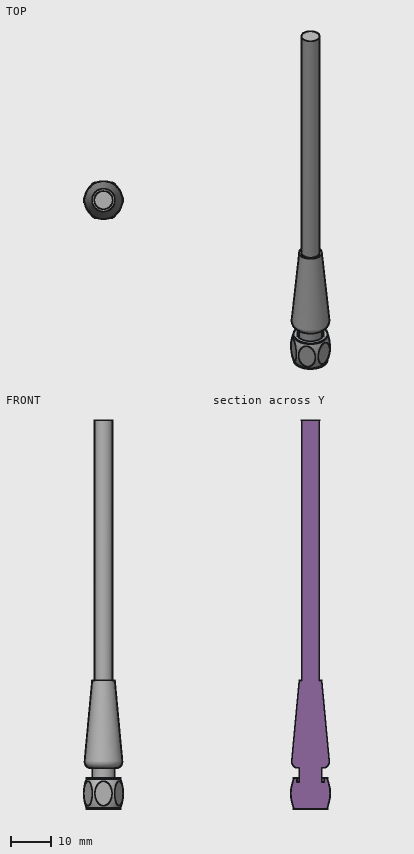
import cadquery as cq
import math

total_length = 97.0

nut_height = 7.8
nut_diameter = 9.9
barrel_end_diameter = 8.5
nut_band_height = 0.3
nut_across_flats = 8.9
flat_count = 6

recess_diameter = 6.7
recess_depth = 1.0

neck_diameter = 5.7
sleeve_bottom = 10.2
sleeve_round_radius = 1.65
sleeve_top = 32.1
sleeve_diameter = 9.5
sleeve_top_diameter = 5.7
rod_diameter = 4.6


def make_nut():
    """Barrel with a straight band at each end and six flats, two of them facing +Y and -Y."""
    end_radius = barrel_end_diameter / 2
    barrel_top = nut_height - nut_band_height
    barrel = (
        cq.Workplane("XZ")
        .lineTo(end_radius, 0)
        .lineTo(end_radius, nut_band_height)
        .threePointArc((nut_diameter / 2, nut_height / 2), (end_radius, barrel_top))
        .lineTo(end_radius, nut_height)
        .lineTo(0, nut_height)
        .close()
        .revolve(360, (0, 0), (0, 1))
    )
    across_corners = nut_across_flats / math.cos(math.pi / flat_count)
    flats = cq.Workplane("XY").polygon(flat_count, across_corners).extrude(nut_height)
    recess = (
        cq.Workplane("XY")
        .workplane(offset=nut_height - recess_depth)
        .circle(recess_diameter / 2)
        .extrude(recess_depth)
    )
    return barrel.intersect(flats).cut(recess)


def make_cylinder(diameter, bottom, top):
    """Cylinder on the Z axis between two heights."""
    return cq.Workplane("XY").workplane(offset=bottom).circle(diameter / 2).extrude(top - bottom)


def make_sleeve():
    """Tapered sleeve with a rounded lower rim."""
    rim_radius = sleeve_diameter / 2
    rim_height = sleeve_bottom + sleeve_round_radius
    bottom_radius = rim_radius - sleeve_round_radius
    diagonal = math.sqrt(0.5)
    round_middle = (
        bottom_radius + sleeve_round_radius * diagonal,
        rim_height - sleeve_round_radius * diagonal,
    )
    return (
        cq.Workplane("XZ")
        .moveTo(0, sleeve_bottom)
        .lineTo(bottom_radius, sleeve_bottom)
        .threePointArc(round_middle, (rim_radius, rim_height))
        .lineTo(sleeve_top_diameter / 2, sleeve_top)
        .lineTo(0, sleeve_top)
        .close()
        .revolve(360, (0, 0), (0, 1))
    )


neck = make_cylinder(neck_diameter, nut_height - recess_depth, sleeve_bottom)
rod = make_cylinder(rod_diameter, sleeve_top, total_length)
result = make_nut().union(neck).union(make_sleeve()).union(rod)